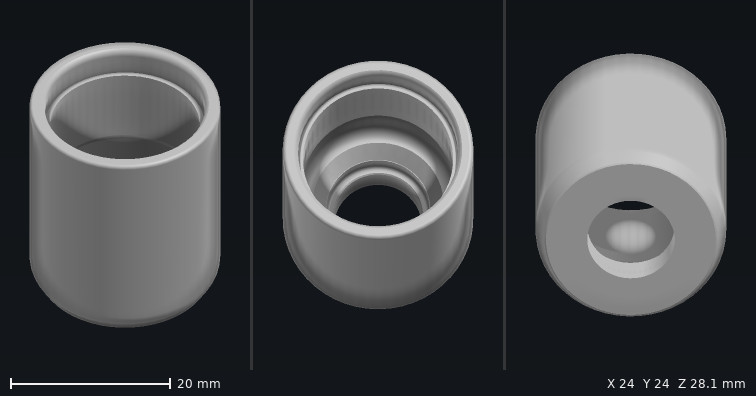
import cadquery as cq
import math

length = 28.1
outer_radius = 24.0 / 2
rim_fillet = 0.5
nose_angle = math.radians(30)
nose_height = 2.08
nose_blend_radius = 2.1
nose_edge_chamfer = 0.1

entry_radius = 20.15 / 2
entry_depth = 3.62
entry_lip_radius = 1.0
entry_lip_sweep = math.radians(60)
main_radius = 18.9 / 2
main_depth = 13.57

chamber_radius = entry_radius
chamber_flare = math.radians(30)
chamber_floor_z = 7.87
floor_radius = 17.08 / 2
chamber_fillet = chamber_radius - floor_radius

funnel_radius = 8.25
funnel_end_radius = 6.58
funnel_angle = math.radians(45)
seat_radius = 13.0 / 2
seat_floor_z = 3.93
seat_fillet = 0.4
outlet_radius = 11.0 / 2
outlet_chamfer = 0.17


def make_body():
    """Cylinder with a rounded top rim and a tapered nose, revolved from its half section."""
    nose_radius = outer_radius - nose_height * math.tan(nose_angle)
    blend_setback = nose_blend_radius * math.tan(nose_angle / 2)
    blend_sag = nose_blend_radius * (1 - math.cos(nose_angle / 2))
    blend_top_z = nose_height + blend_setback
    return (
        cq.Workplane("XZ")
        .lineTo(nose_radius - nose_edge_chamfer, 0)
        .lineTo(nose_radius + nose_edge_chamfer * math.tan(nose_angle), nose_edge_chamfer)
        .lineTo(
            outer_radius - blend_setback * math.sin(nose_angle),
            nose_height - blend_setback * math.cos(nose_angle),
        )
        .threePointArc(
            (outer_radius - blend_sag, blend_top_z - nose_blend_radius * math.sin(nose_angle / 2)),
            (outer_radius, blend_top_z),
        )
        .lineTo(outer_radius, length - rim_fillet)
        .tangentArcPoint((outer_radius - rim_fillet, length), relative=False)
        .lineTo(0, length)
        .close()
        .revolve(360, (0, 0), (0, 1))
    )


def lip_point(angle):
    """Point on the entry lip arc, at an angle above its tangent point on the bore wall."""
    tangent_z = length - entry_lip_radius * math.sin(entry_lip_sweep)
    return (
        entry_radius + entry_lip_radius * (1 - math.cos(angle)),
        tangent_z + entry_lip_radius * math.sin(angle),
    )


def make_cavity():
    """Stepped through-cavity, revolved from its half section."""
    entry_z = length - entry_depth
    chamber_top_z = length - main_depth
    flare_end_z = chamber_top_z - (chamber_radius - main_radius) / math.tan(chamber_flare)
    funnel_end_z = chamber_floor_z - (funnel_radius - funnel_end_radius) / math.tan(funnel_angle)
    section = (
        cq.Workplane("XZ")
        .moveTo(0, length)
        .lineTo(*lip_point(entry_lip_sweep))
        .threePointArc(lip_point(entry_lip_sweep / 2), lip_point(0))
        .lineTo(entry_radius, entry_z)
        .lineTo(main_radius, entry_z)
        .lineTo(main_radius, chamber_top_z)
        .lineTo(chamber_radius, flare_end_z)
        .lineTo(chamber_radius, chamber_floor_z + chamber_fillet)
        .tangentArcPoint((floor_radius, chamber_floor_z), relative=False)
        .lineTo(funnel_radius, chamber_floor_z)
        .lineTo(funnel_end_radius, funnel_end_z)
        .lineTo(seat_radius, funnel_end_z)
        .lineTo(seat_radius, seat_floor_z + seat_fillet)
        .tangentArcPoint((seat_radius - seat_fillet, seat_floor_z), relative=False)
        .lineTo(outlet_radius + outlet_chamfer, seat_floor_z)
        .lineTo(outlet_radius, seat_floor_z - outlet_chamfer)
        .lineTo(outlet_radius, 0)
        .lineTo(0, 0)
        .close()
    )
    return section.revolve(360, (0, 0), (0, 1))


result = make_body().cut(make_cavity())